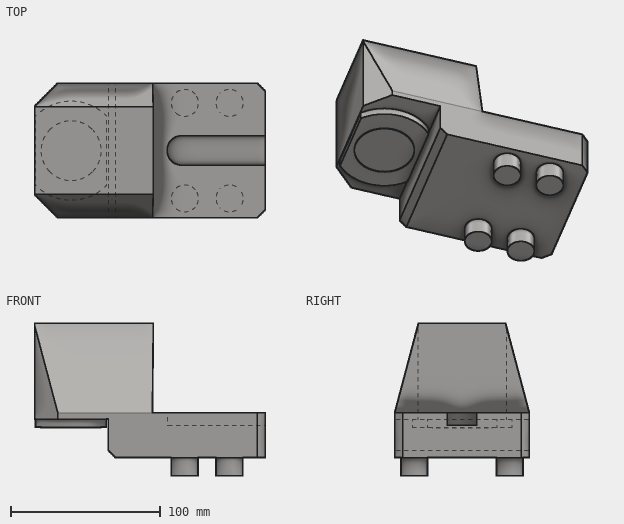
import cadquery as cq

length = 154.0
width = 90.0
base_height = 30.0
ledge_underside = 25.7
step_x = 49.1
step_chamfer = 4.8
front_corner_chamfer = 15.4
rear_corner_chamfer = 5.4

head_top = 89.8
head_top_width = 58.2
head_top_length = 79.3
head_bottom_length = 78.7

slot_width = 19.7
slot_start_x = 88.4
slot_depth = 8.3

pad_x = 24.2
pad_diameter = 66.2
pad_flat_distance = 47.5
pad_height = 5.4
disc_diameter = 40.0
disc_height = 0.5

pin_diameter = 18.0
pin_length = 12.2
pin_x_positions = (100.1, 130.0)
pin_y = 31.9


def make_base():
    """Stepped plate with an overhanging ledge at the front."""
    profile = [
        (0, ledge_underside),
        (step_x, ledge_underside),
        (step_x, step_chamfer),
        (step_x + step_chamfer, 0),
        (length, 0),
        (length, base_height),
        (0, base_height),
    ]
    base = cq.Workplane("XZ").polyline(profile).close().extrude(width / 2, both=True)
    return base.edges("|Z and >X").chamfer(rear_corner_chamfer)


def make_head():
    """Block with sloping sides and a slightly leaning rear face."""
    cross_section = [
        (-width / 2, base_height),
        (width / 2, base_height),
        (head_top_width / 2, head_top),
        (-head_top_width / 2, head_top),
    ]
    side_profile = [
        (0, base_height),
        (head_bottom_length, base_height),
        (head_top_length, head_top),
        (0, head_top),
    ]
    tapered = cq.Workplane("YZ").polyline(cross_section).close().extrude(length)
    side = cq.Workplane("XZ").polyline(side_profile).close().extrude(width / 2, both=True)
    return tapered.intersect(side)


def make_front_corner(side):
    """Vertical wedge that cuts one front corner; side is +1 or -1 along Y."""
    edge_y = side * width / 2
    triangle = [
        (0, edge_y),
        (front_corner_chamfer, edge_y),
        (0, edge_y - side * front_corner_chamfer),
    ]
    return cq.Workplane("XY").polyline(triangle).close().extrude(head_top)


def make_slot():
    """Cutter with a round inner end, open through the rear face."""
    radius = slot_width / 2
    arc_start_x = slot_start_x + radius
    return (
        cq.Workplane("XY", origin=(0, 0, base_height - slot_depth))
        .moveTo(length, -radius)
        .lineTo(arc_start_x, -radius)
        .threePointArc((slot_start_x, 0), (arc_start_x, radius))
        .lineTo(length, radius)
        .close()
        .extrude(slot_depth)
    )


def make_pad():
    """Round pad with a flat at front and rear, carrying the shallow disc."""
    pad_bottom = ledge_underside - pad_height
    pad_plane = cq.Workplane("XY", origin=(pad_x, 0, pad_bottom))
    flats = pad_plane.rect(pad_flat_distance, pad_diameter).extrude(pad_height)
    pad = pad_plane.circle(pad_diameter / 2).extrude(pad_height).intersect(flats)
    disc = pad_plane.circle(disc_diameter / 2).extrude(-disc_height)
    return pad.union(disc)


def make_pins():
    """Four pins projecting from the underside of the base."""
    centres = [(x, y) for x in pin_x_positions for y in (-pin_y, pin_y)]
    return cq.Workplane("XY").pushPoints(centres).circle(pin_diameter / 2).extrude(-pin_length)


result = make_base().union(make_head())
for corner_side in (-1, 1):
    result = result.cut(make_front_corner(corner_side))
result = result.cut(make_slot()).union(make_pad()).union(make_pins())